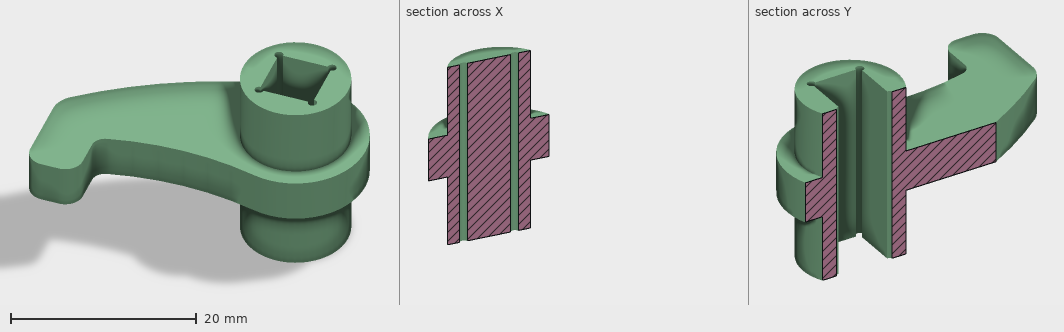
import cadquery as cq
import math

overall_length = 34.0
overall_height = 21.0
plate_thickness = 5.0
head_radius = 8.0
boss_diameter = 12.0
square_side = 6.12
relief_diameter = 1.0

hook_width = 6.0
hook_bottom = -14.0
tip_fillet = 2.0
shoulder_fillet = 3.0
inner_fillet = 1.5

back_radius = 50.0
back_center_x = 6.5
belly_radius = 34.6
belly_center_x = -10.6

hook_left = head_radius - overall_length
hook_right = hook_left + hook_width


def center_below(center_x, distance):
    """Arc center below the pivot, at the given distance from it."""
    return center_x, -math.sqrt(distance**2 - center_x**2)


def on_arc(center, radius, x):
    """Point at x on the upper half of a circle."""
    return x, center[1] + math.sqrt(radius**2 - (x - center[0]) ** 2)


def head_point(direction, sign):
    """Point of the round head along (sign = 1) or against a direction from the pivot."""
    scale = sign * head_radius / math.hypot(*direction)
    return direction[0] * scale, direction[1] * scale


def make_lever():
    back_center = center_below(back_center_x, back_radius - head_radius)
    belly_center = center_below(belly_center_x, belly_radius + head_radius)
    back_tangent = head_point(back_center, -1)
    belly_tangent = head_point(belly_center, 1)

    shoulder = on_arc(back_center, back_radius, hook_left)
    inner_corner = on_arc(belly_center, belly_radius, hook_right)
    back_middle = on_arc(back_center, back_radius, (hook_left + back_tangent[0]) / 2)
    belly_middle = on_arc(belly_center, belly_radius, (hook_right + belly_tangent[0]) / 2)

    lever = (
        cq.Workplane("XY", origin=(0, 0, -plate_thickness / 2))
        .moveTo(hook_left, hook_bottom)
        .lineTo(hook_right, hook_bottom)
        .lineTo(*inner_corner)
        .threePointArc(belly_middle, belly_tangent)
        .threePointArc((head_radius, 0), back_tangent)
        .threePointArc(back_middle, shoulder)
        .close()
        .extrude(plate_thickness)
    )

    def round_corner(body, corner, radius):
        nearest = cq.selectors.NearestToPointSelector((corner[0], corner[1], 0))
        return body.edges("|Z").edges(nearest).fillet(radius)

    lever = round_corner(lever, shoulder, shoulder_fillet)
    lever = round_corner(lever, inner_corner, inner_fillet)
    for tip_x in (hook_left, hook_right):
        lever = round_corner(lever, (tip_x, hook_bottom), tip_fillet)
    return lever


def make_boss():
    return cq.Workplane("XY").circle(boss_diameter / 2).extrude(overall_height / 2, both=True)


def make_square_socket():
    """Square through hole with a round relief at each corner."""
    socket = cq.Workplane("XY").rect(square_side, square_side).extrude(overall_height / 2, both=True)
    reliefs = (
        cq.Workplane("XY")
        .rect(square_side, square_side, forConstruction=True)
        .vertices()
        .circle(relief_diameter / 2)
        .extrude(overall_height / 2, both=True)
    )
    return socket.union(reliefs)


result = make_lever().union(make_boss()).cut(make_square_socket())